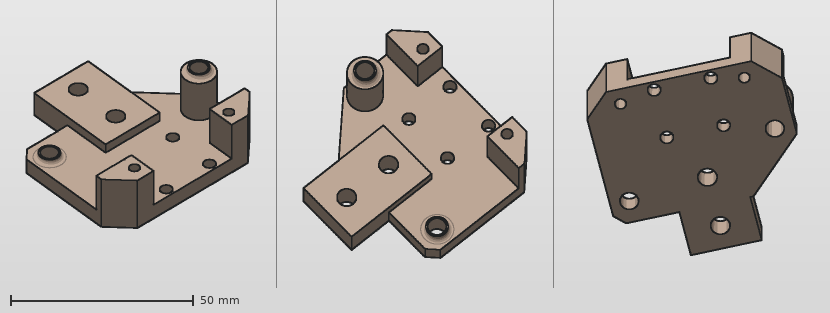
import cadquery as cq
import math

plate_length = 40.65
plate_width = 54.9
plate_thickness = 5.0
back_left_cut = 16.0
front_left_cut = 3.0
right_cut = 7.0

arm_overhang = 13.65
arm_length = 29.25
arm_width = 20.0
arm_height = 8.0
arm_hole_diameter = 5.3
arm_hole_end_distance = 7.0
arm_hole_spacing = 15.3
arm_center_y = 27.95

plate_hole_diameter = 3.6
plate_hole_edge_distance = 2.5
plate_hole_spacing_x = 15.0
plate_hole_spacing_y = 16.0

block_length = 9.05
block_width = 13.0
block_top = 17.2
block_hole_diameter = 3.1
block_hole_from_right = 4.5
block_hole_from_side = 10.0

bore_diameter = 5.1
rim_diameter = 6.1
rim_height = 1.5
tall_post_center = (18.95, 49.4)
tall_post_diameter = 10.0
tall_post_shoulder = 18.29
low_post_center = (6.5, 5.4)
low_flare_diameter = rim_diameter + 2 * rim_height


def outline_prism(outline, height):
    return cq.Workplane("XY").polyline(outline).close().extrude(height)


def make_plate():
    """Plate with all four corners cut at 45 degrees."""
    outline = [
        (front_left_cut, 0),
        (plate_length - right_cut, 0),
        (plate_length, right_cut),
        (plate_length, plate_width - right_cut),
        (plate_length - right_cut, plate_width),
        (back_left_cut, plate_width),
        (0, plate_width - back_left_cut),
        (0, front_left_cut),
    ]
    return outline_prism(outline, plate_thickness)


def make_arm():
    arm = cq.Workplane("XY").box(arm_length, arm_width, arm_height, centered=(False, True, False))
    return arm.translate((-arm_overhang, arm_center_y, 0))


def make_front_block():
    """Corner block that follows the cut corner of the plate."""
    left = plate_length - block_length
    outline = [
        (left, 0),
        (plate_length - right_cut, 0),
        (plate_length, right_cut),
        (plate_length, block_width),
        (left, block_width),
    ]
    return outline_prism(outline, block_top)


def flare_middle(radius, shoulder):
    """Middle of the arc that leaves the shoulder level at the given radius and ends at the rim."""
    run = radius - rim_diameter / 2
    flare_radius = (run**2 + rim_height**2) / (2 * rim_height)
    half_angle = math.atan2(rim_height, run)
    return (
        radius - flare_radius * math.sin(half_angle),
        shoulder + flare_radius * (1 - math.cos(half_angle)),
    )


def make_post(center, diameter, shoulder):
    """Cylinder up to the shoulder, then a concave flare that starts level and rises to the rim."""
    radius = diameter / 2
    top = shoulder + rim_height
    profile = (
        cq.Workplane("XZ")
        .lineTo(radius, 0)
        .lineTo(radius, shoulder)
        .threePointArc(flare_middle(radius, shoulder), (rim_diameter / 2, top))
        .lineTo(0, top)
        .close()
    )
    return profile.revolve(360, (0, 0, 0), (0, 1, 0)).translate((*center, 0))


def make_holes(centers, diameter):
    """Cutters that pass through the full height of the part."""
    full_height = tall_post_shoulder + rim_height
    return cq.Workplane("XY").pushPoints(centers).circle(diameter / 2).extrude(full_height)


front_block = make_front_block()
back_block = front_block.mirror("XZ").translate((0, plate_width, 0))
body = make_plate().union(make_arm()).union(front_block).union(back_block)
body = body.union(make_post(tall_post_center, tall_post_diameter, tall_post_shoulder))
body = body.union(make_post(low_post_center, low_flare_diameter, plate_thickness))

first_arm_hole_x = arm_hole_end_distance - arm_overhang
arm_holes = [(first_arm_hole_x + i * arm_hole_spacing, arm_center_y) for i in range(2)]

last_plate_hole_x = plate_length - plate_hole_edge_distance
plate_holes = [
    (last_plate_hole_x - i * plate_hole_spacing_x, arm_center_y + side * plate_hole_spacing_y / 2)
    for i in range(2)
    for side in (-1, 1)
]

block_hole_x = plate_length - block_hole_from_right
block_holes = [
    (block_hole_x, block_hole_from_side),
    (block_hole_x, plate_width - block_hole_from_side),
]

body = body.cut(make_holes(arm_holes, arm_hole_diameter))
body = body.cut(make_holes(plate_holes, plate_hole_diameter))
body = body.cut(make_holes(block_holes, block_hole_diameter))
body = body.cut(make_holes([tall_post_center, low_post_center], bore_diameter))

result = body